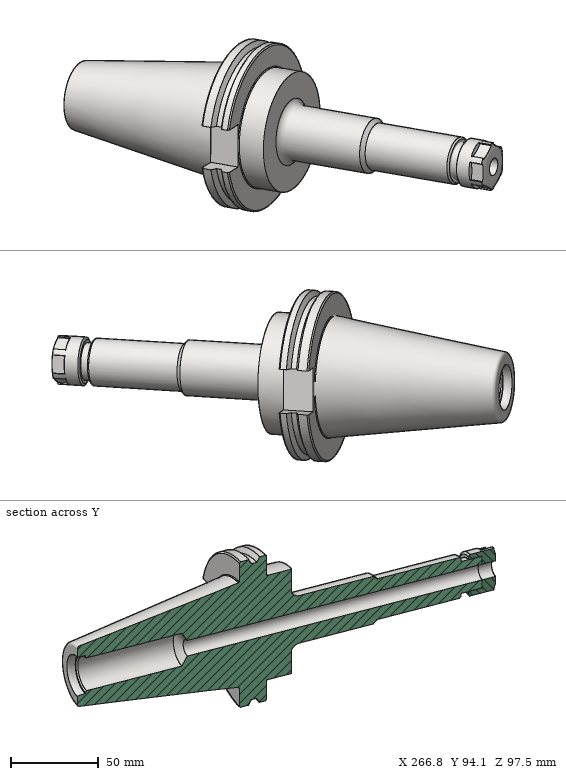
import cadquery as cq
import math

OVERALL_LENGTH = 266.8

FLANGE_START_X = 103.2
FLANGE_END_X = 120.8
FLANGE_DIA = 97.5
FLANGE_CHAMFER = 0.8
FLANGE_ROOT_FILLET = 0.5

TAPER_END_X = FLANGE_START_X - FLANGE_ROOT_FILLET
TAPER_LARGE_DIA = 70.0
TAPER_SMALL_DIA = 40.3
TAPER_END_ROUND = 2.1

GROOVE_CENTRE_X = 112.8
GROOVE_MOUTH_WIDTH = 7.0
GROOVE_FLOOR_WIDTH = 3.2
GROOVE_DEPTH = 3.2

KEYWAY_WIDTH = 25.5
KEYWAY_FLOOR_FRONT = 35.5
KEYWAY_FLOOR_BACK = 37.5

COLLAR_END_X = 136.9
SHANK_DIA = 32.0
SHANK_ROOT_LENGTH = 4.8
SHANK_ROOT_RADIUS = 5.0
SHANK_END_X = 189.0
SHANK_STEP_LENGTH = 2.5
NOSE_DIA = 27.5
NOSE_END_X = 245.0
NOSE_CHAMFER = 1.0
NECK_DIA = 21.5
NECK_ROOT_FILLET = 0.5

MOUTH_DIA = 26.1
MOUTH_DEPTH = 2.1
PILOT_DIA = 25.0
PILOT_DEPTH = 5.0
REAR_BORE_DIA = 21.5
REAR_BORE_MOUTH_DIA = 23.2
REAR_BORE_DEPTH = 66.7
DRILL_POINT_ANGLE = 118.0
THROUGH_BORE_DIA = 10.1

NUT_START_X = 249.5
NUT_DIA = 28.0
NUT_REAR_CHAMFER_LENGTH = 0.8
NUT_REAR_CHAMFER_DEPTH = 1.3
NUT_FACE_DIA = 20.5
NUT_FACE_BEVEL_LENGTH = 1.0
NUT_SLOT_START_X = 258.2
NUT_SLOT_COUNT = 6
NUT_SLOT_WIDTH = 10.7
NUT_SLOT_FLOOR = 12.0
NUT_SLOT_END_LENGTH = 0.8
NECK_END_X = NUT_SLOT_START_X


def revolve_about_x(profile):
    """Turn a closed (x, radius) profile around the X axis."""
    return profile.close().revolve(360, (0, 0, 0), (1, 0, 0))


def make_holder_blank():
    """Turned outside of the holder, from the small end of the taper to the end of the neck."""
    collar_radius = TAPER_LARGE_DIA / 2
    root_radius = collar_radius + FLANGE_ROOT_FILLET
    rim_radius = FLANGE_DIA / 2
    groove_floor_radius = rim_radius - GROOVE_DEPTH
    shank_radius = SHANK_DIA / 2
    shank_root_rise = SHANK_ROOT_RADIUS - math.sqrt(SHANK_ROOT_RADIUS**2 - SHANK_ROOT_LENGTH**2)
    nose_radius = NOSE_DIA / 2
    neck_radius = NECK_DIA / 2
    profile = (
        cq.Workplane("XY")
        .moveTo(0, 0)
        .lineTo(0, TAPER_SMALL_DIA / 2)
        .lineTo(TAPER_END_X, collar_radius)
        .radiusArc((FLANGE_START_X, root_radius), -FLANGE_ROOT_FILLET)
        .lineTo(FLANGE_START_X, rim_radius - FLANGE_CHAMFER)
        .lineTo(FLANGE_START_X + FLANGE_CHAMFER, rim_radius)
        .lineTo(GROOVE_CENTRE_X - GROOVE_MOUTH_WIDTH / 2, rim_radius)
        .lineTo(GROOVE_CENTRE_X - GROOVE_FLOOR_WIDTH / 2, groove_floor_radius)
        .lineTo(GROOVE_CENTRE_X + GROOVE_FLOOR_WIDTH / 2, groove_floor_radius)
        .lineTo(GROOVE_CENTRE_X + GROOVE_MOUTH_WIDTH / 2, rim_radius)
        .lineTo(FLANGE_END_X - FLANGE_CHAMFER, rim_radius)
        .lineTo(FLANGE_END_X, rim_radius - FLANGE_CHAMFER)
        .lineTo(FLANGE_END_X, root_radius)
        .radiusArc((FLANGE_END_X + FLANGE_ROOT_FILLET, collar_radius), -FLANGE_ROOT_FILLET)
        .lineTo(COLLAR_END_X, collar_radius)
        .lineTo(COLLAR_END_X, shank_radius + shank_root_rise)
        .radiusArc((COLLAR_END_X + SHANK_ROOT_LENGTH, shank_radius), -SHANK_ROOT_RADIUS)
        .lineTo(SHANK_END_X, shank_radius)
        .lineTo(SHANK_END_X + SHANK_STEP_LENGTH, nose_radius)
        .lineTo(NOSE_END_X - NOSE_CHAMFER, nose_radius)
        .lineTo(NOSE_END_X, nose_radius - NOSE_CHAMFER)
        .lineTo(NOSE_END_X, neck_radius + NECK_ROOT_FILLET)
        .radiusArc((NOSE_END_X + NECK_ROOT_FILLET, neck_radius), -NECK_ROOT_FILLET)
        .lineTo(NECK_END_X, neck_radius)
        .lineTo(NECK_END_X, 0)
    )
    return revolve_about_x(profile).faces("<X").edges().fillet(TAPER_END_ROUND)


def make_keyway(side, floor):
    """Cutter for one keyway; side is -1 for -Y and 1 for +Y."""
    depth = FLANGE_DIA / 2 - floor
    middle_x = (FLANGE_START_X + FLANGE_END_X) / 2
    keyway = cq.Workplane("XY").box(FLANGE_END_X - FLANGE_START_X, depth, KEYWAY_WIDTH)
    return keyway.translate((middle_x, side * (floor + depth / 2), 0))


def make_holder_bore():
    """Cutter for the stepped bore: mouth, pilot, rear bore with a drill point, through bore."""
    bore_chamfer = (REAR_BORE_MOUTH_DIA - REAR_BORE_DIA) / 2
    point_length = (REAR_BORE_DIA - THROUGH_BORE_DIA) / 2 / math.tan(math.radians(DRILL_POINT_ANGLE / 2))
    profile = (
        cq.Workplane("XY")
        .moveTo(0, 0)
        .lineTo(0, MOUTH_DIA / 2)
        .lineTo(MOUTH_DEPTH, PILOT_DIA / 2)
        .lineTo(PILOT_DEPTH, PILOT_DIA / 2)
        .lineTo(PILOT_DEPTH, REAR_BORE_MOUTH_DIA / 2)
        .lineTo(PILOT_DEPTH + bore_chamfer, REAR_BORE_DIA / 2)
        .lineTo(REAR_BORE_DEPTH, REAR_BORE_DIA / 2)
        .lineTo(REAR_BORE_DEPTH + point_length, THROUGH_BORE_DIA / 2)
        .lineTo(NECK_END_X, THROUGH_BORE_DIA / 2)
        .lineTo(NECK_END_X, 0)
    )
    return revolve_about_x(profile)


def make_holder():
    holder = make_holder_blank()
    holder = holder.cut(make_keyway(-1, KEYWAY_FLOOR_FRONT))
    holder = holder.cut(make_keyway(1, KEYWAY_FLOOR_BACK))
    return holder.cut(make_holder_bore())


def make_nut_slot():
    """Cutter for one spanner slot on the +Y side: a flat floor and a conical wall at its end."""
    nut_radius = NUT_DIA / 2
    length = OVERALL_LENGTH - NUT_SLOT_START_X
    depth = nut_radius - NUT_SLOT_FLOOR
    slot = cq.Workplane("XY").box(length, depth, NUT_SLOT_WIDTH).translate(
        (NUT_SLOT_START_X + length / 2, NUT_SLOT_FLOOR + depth / 2, 0)
    )
    end_cone = (
        cq.Workplane("XY")
        .moveTo(NUT_SLOT_START_X, 0)
        .lineTo(NUT_SLOT_START_X, nut_radius)
        .lineTo(NUT_SLOT_START_X + NUT_SLOT_END_LENGTH, NUT_SLOT_FLOOR)
        .lineTo(NUT_SLOT_START_X + NUT_SLOT_END_LENGTH, 0)
    )
    return slot.cut(revolve_about_x(end_cone))


def make_nut():
    """Nut with a rear recess that fits the neck of the holder."""
    nut_radius = NUT_DIA / 2
    profile = (
        cq.Workplane("XY")
        .moveTo(NUT_START_X, NECK_DIA / 2)
        .lineTo(NUT_START_X, nut_radius - NUT_REAR_CHAMFER_DEPTH)
        .lineTo(NUT_START_X + NUT_REAR_CHAMFER_LENGTH, nut_radius)
        .lineTo(OVERALL_LENGTH - NUT_FACE_BEVEL_LENGTH, nut_radius)
        .lineTo(OVERALL_LENGTH, NUT_FACE_DIA / 2)
        .lineTo(OVERALL_LENGTH, THROUGH_BORE_DIA / 2)
        .lineTo(NECK_END_X, THROUGH_BORE_DIA / 2)
        .lineTo(NECK_END_X, NECK_DIA / 2)
    )
    nut = revolve_about_x(profile)
    slot = make_nut_slot()
    for index in range(NUT_SLOT_COUNT):
        nut = nut.cut(slot.rotate((0, 0, 0), (1, 0, 0), index * 360 / NUT_SLOT_COUNT))
    return nut


holder = make_holder()
nut = make_nut()
result = cq.Compound.makeCompound([holder.val(), nut.val()])